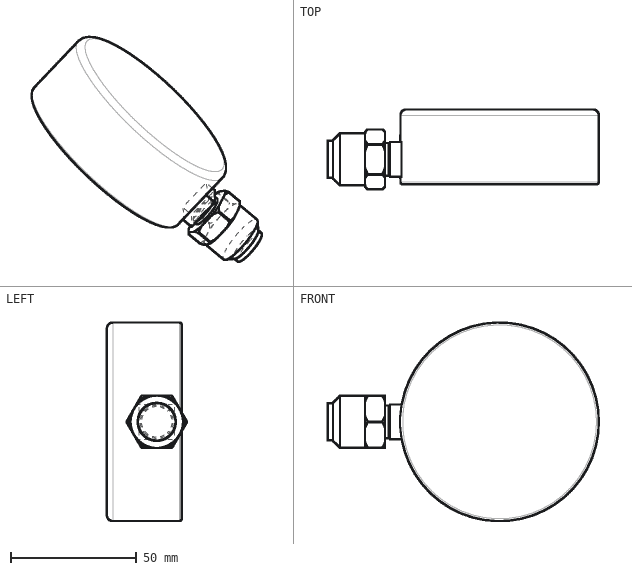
import cadquery as cq
import math

case_diameter = 79.5
case_depth = 30.0
front_edge_radius = 1.0
back_edge_radius = 2.5

overall_length = 108.5
fitting_to_front_face = 10.0
tip_diameter = 14.9
tip_length = 2.1
body_diameter = 20.9
cone_start_diameter = 15.3
cone_end = 5.0
hex_start = 15.0
hex_length = 8.0
hex_across_flats = 21.0
hex_corner_diameter = 24.0
hex_face_diameter = 22.0
hex_chamfer_angle = 45.0
neck_diameter = 13.2
neck_length = 1.9
neck_chamfer = 0.5
block_side = 14.0

case_radius = case_diameter / 2
tip_x = case_radius - overall_length
hex_end = hex_start + hex_length
block_start = hex_end + neck_length
sharp_corner_diameter = hex_across_flats / math.cos(math.radians(30))


def make_case():
    """Solid disc with rounded front and back rims."""
    disc = (
        cq.Workplane("XZ", origin=(0, -fitting_to_front_face, 0))
        .circle(case_radius)
        .extrude(-case_depth)
    )
    disc = disc.faces("<Y").edges().fillet(front_edge_radius)
    return disc.faces(">Y").edges().fillet(back_edge_radius)


def revolve_about_x(profile):
    """Turn a closed (distance from free end, radius) profile around the fitting axis."""
    points = [(tip_x + distance, radius) for distance, radius in profile]
    return cq.Workplane("XY").polyline(points).close().revolve(360, (0, 0, 0), (1, 0, 0))


def make_turned_fitting():
    """Tip, cone with a small step at its foot, cylindrical body and neck in one turned piece."""
    neck_radius = neck_diameter / 2
    return revolve_about_x([
        (0, 0),
        (0, tip_diameter / 2),
        (tip_length, tip_diameter / 2),
        (tip_length, cone_start_diameter / 2),
        (cone_end, body_diameter / 2),
        (hex_end, body_diameter / 2),
        (hex_end, neck_radius),
        (block_start - neck_chamfer, neck_radius),
        (block_start, neck_radius - neck_chamfer),
        (block_start, 0),
    ])


def make_hex():
    """Hexagon with flats facing up and down and its corners turned down and chamfered at both ends."""
    prism = (
        cq.Workplane("YZ", origin=(tip_x + hex_start, 0, 0))
        .polygon(6, sharp_corner_diameter)
        .extrude(hex_length)
    )
    face_radius = hex_face_diameter / 2
    corner_radius = hex_corner_diameter / 2
    chamfer_length = (corner_radius - face_radius) / math.tan(math.radians(hex_chamfer_angle))
    envelope = revolve_about_x([
        (hex_start, 0),
        (hex_start, face_radius),
        (hex_start + chamfer_length, corner_radius),
        (hex_end - chamfer_length, corner_radius),
        (hex_end, face_radius),
        (hex_end, 0),
    ])
    return prism.intersect(envelope)


def make_block():
    """Square shank from the neck into the case."""
    block_x = tip_x + block_start
    return cq.Workplane("YZ", origin=(block_x, 0, 0)).rect(block_side, block_side).extrude(-block_x)


result = make_case().union(make_block()).union(make_turned_fitting()).union(make_hex())